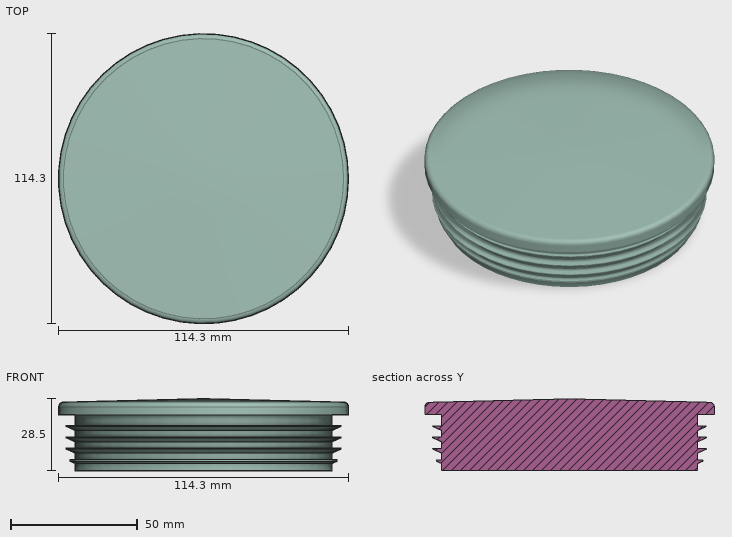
import cadquery as cq

flange_radius = 114.3 / 2
plug_radius = 101.3 / 2
fin_radius = 108.4 / 2
lead_fin_radius = 105.3 / 2

total_height = 28.5
flange_bottom = 22.1
rim_fillet = 2.0
rim_height = 27.1

fin_count = 3
fin_pitch = 4.5
fin_tip = 0.3
fin_root = 2.0
lead_fin_top = 4.5
lead_fin_tip = 0.7
lead_fin_root = 1.6

overlap = 1.1


def make_cap():
    """Plug and flange, with a rounded rim and a shallow conical crown on top."""
    crown_radius = flange_radius - rim_fillet
    fillet_start = rim_height - rim_fillet
    profile = (
        cq.Workplane("XZ")
        .lineTo(plug_radius, 0)
        .lineTo(plug_radius, flange_bottom)
        .lineTo(flange_radius, flange_bottom)
        .lineTo(flange_radius, fillet_start)
        .radiusArc((crown_radius, rim_height), -rim_fillet)
        .lineTo(0, total_height)
        .close()
    )
    return profile.revolve(360, (0, 0, 0), (0, 1, 0))


def make_fin(top, radius, tip, root):
    """Ring around the plug: tip is its thickness at the edge, root its thickness at the plug."""
    inner_radius = plug_radius - overlap
    profile = (
        cq.Workplane("XZ")
        .moveTo(inner_radius, top)
        .lineTo(radius, top)
        .lineTo(radius, top - tip)
        .lineTo(plug_radius, top - root)
        .lineTo(inner_radius, top - root)
        .close()
    )
    return profile.revolve(360, (0, 0, 0), (0, 1, 0))


result = make_cap().union(make_fin(lead_fin_top, lead_fin_radius, lead_fin_tip, lead_fin_root))
for step in range(1, fin_count + 1):
    fin_top = lead_fin_top + step * fin_pitch
    result = result.union(make_fin(fin_top, fin_radius, fin_tip, fin_root))